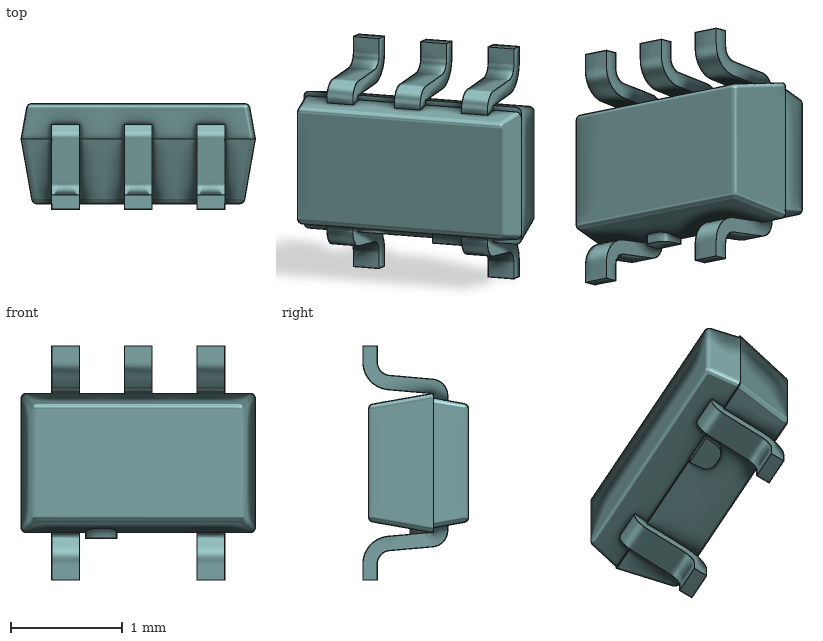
import cadquery as cq
import math


housing_width = 2.1
front_height = 1.25
rear_height = 1.163
front_depth = 0.582
rear_depth = 0.317
draft = 10.0
edge_radius = 0.05

lead_span = 2.1
lead_pitch = 0.65
lead_width = 0.25
lead_thickness = 0.13
lead_slope = 5.0
standoff = 0.05
foot_length = 0.145
foot_inner_radius = 0.12
shoulder_outer_radius = 0.15

nub_base_width = 0.281
nub_depth = 0.21
nub_draft = 6.0
nub_radius = 0.1
nub_protrusion = 0.05
nub_x = -0.332

draft_slope = math.tan(math.radians(draft))


def housing_half(direction, height, depth):
    """Drafted, rounded half that grows from the parting plane along direction * Y."""
    parting_plane = cq.Plane(origin=(0, 0, 0), xDir=(1, 0, 0), normal=(0, direction, 0))
    block = cq.Workplane(parting_plane).rect(housing_width, height).extrude(depth, taper=draft)
    parting_edges = block.faces("<Y" if direction > 0 else ">Y").edges().vals()
    rounded_edges = [
        edge for edge in block.edges().vals()
        if not any(edge.isSame(parting_edge) for parting_edge in parting_edges)
    ]
    return block.newObject(rounded_edges).fillet(edge_radius)


def point_on_circle(center, radius, angle):
    """Point at an angle in degrees, measured from +Y toward +Z."""
    turn = math.radians(angle)
    return (center[0] + radius * math.cos(turn), center[1] + radius * math.sin(turn))


def upper_lead(x):
    """Gull-wing lead on the +Z side, centred at x, drawn as a Y-Z outline."""
    tip_z = lead_span / 2
    foot_outer_y = -(front_depth + standoff)
    foot_inner_y = foot_outer_y + lead_thickness
    foot_outer_radius = foot_inner_radius + lead_thickness
    shoulder_inner_radius = shoulder_outer_radius - lead_thickness

    shank_end_z = rear_height / 2 - lead_thickness * draft_slope

    slope = math.radians(lead_slope)
    foot_center = (foot_inner_y + foot_inner_radius, tip_z - foot_length)
    shoulder_y = lead_thickness - shoulder_outer_radius
    center_run = shoulder_y - foot_center[0]
    radius_sum = foot_inner_radius + shoulder_outer_radius
    center_drop = (radius_sum + center_run * math.sin(slope)) / math.cos(slope)
    shoulder_center = (shoulder_y, foot_center[1] - center_drop)

    foot_start, foot_end = 180, 270 - lead_slope
    foot_middle = (foot_start + foot_end) / 2
    shoulder_start, shoulder_end = 90 - lead_slope, 0
    shoulder_middle = (shoulder_start + shoulder_end) / 2

    return (
        cq.Workplane("YZ", origin=(x - lead_width / 2, 0, 0))
        .moveTo(foot_inner_y, tip_z)
        .lineTo(foot_inner_y, foot_center[1])
        .threePointArc(
            point_on_circle(foot_center, foot_inner_radius, foot_middle),
            point_on_circle(foot_center, foot_inner_radius, foot_end),
        )
        .lineTo(*point_on_circle(shoulder_center, shoulder_outer_radius, shoulder_start))
        .threePointArc(
            point_on_circle(shoulder_center, shoulder_outer_radius, shoulder_middle),
            point_on_circle(shoulder_center, shoulder_outer_radius, shoulder_end),
        )
        .lineTo(lead_thickness, shank_end_z)
        .lineTo(0, shank_end_z)
        .lineTo(0, shoulder_center[1])
        .threePointArc(
            point_on_circle(shoulder_center, shoulder_inner_radius, shoulder_middle),
            point_on_circle(shoulder_center, shoulder_inner_radius, shoulder_start),
        )
        .lineTo(*point_on_circle(foot_center, foot_outer_radius, foot_end))
        .threePointArc(
            point_on_circle(foot_center, foot_outer_radius, foot_middle),
            point_on_circle(foot_center, foot_outer_radius, foot_start),
        )
        .lineTo(foot_outer_y, tip_z)
        .close()
        .extrude(lead_width)
    )


def lower_lead(x):
    """The same lead mirrored to the -Z side."""
    return upper_lead(x).mirror("XY")


def lower_nub():
    """Drafted block with two rounded front corners, seated in the lower side of the housing."""
    bottom_z = -front_height / 2 - nub_protrusion
    top_z = -front_height / 2 + nub_depth * draft_slope
    base_half = nub_base_width / 2
    front_half = base_half - nub_depth * math.tan(math.radians(nub_draft))
    return (
        cq.Workplane("XY", origin=(nub_x, 0, bottom_z))
        .polyline([
            (-base_half, 0),
            (-front_half, -nub_depth),
            (front_half, -nub_depth),
            (base_half, 0),
        ])
        .close()
        .extrude(top_z - bottom_z)
        .edges("|Z and <Y")
        .fillet(nub_radius)
    )


leads = []
for x in (-lead_pitch, 0, lead_pitch):
    leads.append(upper_lead(x))
for x in (-lead_pitch, lead_pitch):
    leads.append(lower_lead(x))

nub = lower_nub()

housing = housing_half(-1, front_height, front_depth).union(housing_half(1, rear_height, rear_depth))
for seated_body in [*leads, nub]:
    housing = housing.cut(seated_body)

result = cq.Compound.makeCompound([housing.solids().val(), *[lead.val() for lead in leads], nub.val()])